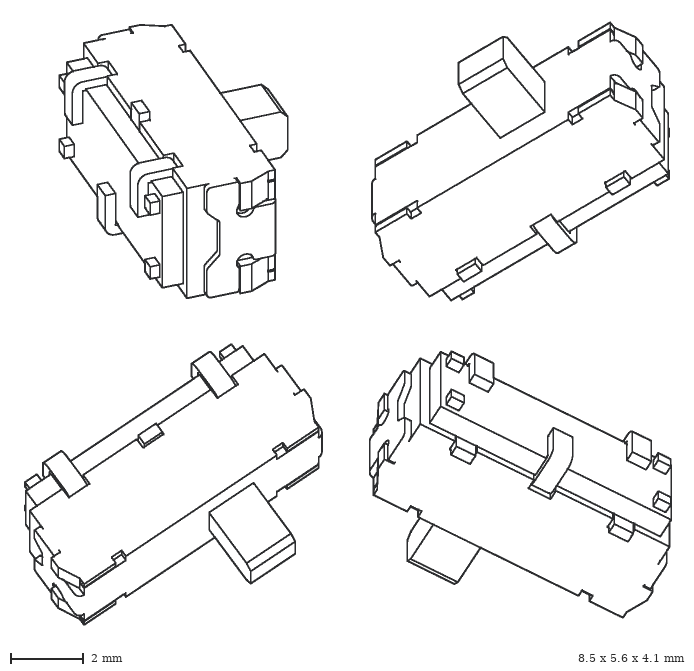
import cadquery as cq


housing_length = 7.9
housing_depth = 2.6
housing_height = 3.6
half_length = housing_length / 2
half_height = housing_height / 2

base_length = 7.3
base_thickness = 0.61
base_height = 2.99
peg_size = 0.4
peg_length = 0.29
peg_x = 3.27
peg_z = 1.045

lever_x = -1.0
lever_width = 1.5
lever_length = 2.0
lever_chamfer = 0.2

terminal_pitch = 2.5
terminal_width = 0.6
terminal_thickness = 0.31
terminal_reach = 1.0
stub_z = 2.05
hook_z = 1.75
hook_tip_z = 0.4
slot_width = 0.7

bend_ratio = 0.98

sheet = 0.2
cap_front_y = 0.51
cap_shoulder_y = 1.46
cap_corner_radius = 0.13
shoulder_radius = 0.07
tongue_half_width = 0.86
relief_y = 1.64
relief_radius = 0.25
relief_blend = 0.085
recess_z = 0.08
recess_depth = 0.38
recess_half_floor = 0.535
recess_floor_radius = 0.1

ear_reach = 4.25
ear_height = 0.89
ear_slope_y = 1.79

notch_x = 2.71
notch_width = 0.34
slit_height = 0.05
slit_floor_z = 1.445


def block(x_range, y_range, z_range):
    """Box between the given limits."""
    x0, x1 = x_range
    y0, y1 = y_range
    z0, z1 = z_range
    return cq.Workplane("XY").box(x1 - x0, y1 - y0, z1 - z0, centered=False).translate((x0, y0, z0))


def centred(middle, size):
    """Limits of a span of the given size about its middle."""
    return middle - size / 2, middle + size / 2


def mirrored(shape, plane):
    """The shape together with its mirror image."""
    return shape.union(shape.mirror(plane))


def make_housing():
    housing = block(centred(0, housing_length), (0, housing_depth), centred(0, housing_height))
    for x in (-terminal_pitch, 0, terminal_pitch):
        slot = block(centred(x, slot_width), (0, terminal_thickness), centred(0, housing_height))
        housing = housing.cut(slot)
    return housing.cut(make_back_reliefs())


def make_back_reliefs():
    """Notches in the upper and lower back edges, each joined to the housing end by a thin slit."""
    back = (housing_depth - sheet, housing_depth)
    notch = block(centred(notch_x, notch_width), back, (slit_floor_z, half_height))
    slit = block((notch_x, half_length), back, (slit_floor_z, slit_floor_z + slit_height))
    return mirrored(mirrored(notch.union(slit), "XY"), "YZ")


def make_base():
    base = block(centred(0, base_length), (-base_thickness, 0), centred(0, base_height))
    peg_span = (-base_thickness - peg_length, -base_thickness)
    peg = block(centred(peg_x, peg_size), peg_span, centred(peg_z, peg_size))
    return base.union(mirrored(mirrored(peg, "XY"), "YZ"))


def make_lever():
    back = (housing_depth, housing_depth + lever_length)
    lever = block(centred(lever_x, lever_width), back, centred(0, lever_width))
    return lever.faces(">Y").edges("|X").chamfer(lever_chamfer)


def make_terminal(x):
    """Terminal with its hook at the top and its stub at the bottom."""
    outline = [
        (terminal_thickness, -stub_z),
        (terminal_thickness, hook_z),
        (-terminal_reach, hook_z),
        (-terminal_reach, hook_tip_z),
        (-terminal_reach + terminal_thickness, hook_tip_z),
        (-terminal_reach + terminal_thickness, hook_z - terminal_thickness),
        (0, hook_z - terminal_thickness),
        (0, -stub_z),
    ]
    terminal = cq.Workplane("YZ").polyline(outline).close().extrude(terminal_width / 2, both=True)
    bend_radius = bend_ratio * terminal_thickness
    return terminal.faces(">Z").edges("|X").fillet(bend_radius).translate((x, 0, 0))


def round_corners(plate, y, heights, radius):
    """Round the plate outline at the corners with the given Y and each of the heights."""
    for z in heights:
        corner = cq.selectors.NearestToPointSelector((sheet / 2, y, z))
        plate = plate.edges("|X").edges(corner).fillet(radius)
    return plate


def make_end_cap():
    """Formed plate on the +X end, with a rear tongue bent towards the back."""
    recess_y = cap_front_y + recess_depth
    recess_half_mouth = recess_half_floor + recess_depth
    outline = [
        (cap_front_y, half_height),
        (cap_front_y, recess_z + recess_half_mouth),
        (recess_y, recess_z + recess_half_floor),
        (recess_y, recess_z - recess_half_floor),
        (cap_front_y, recess_z - recess_half_mouth),
        (cap_front_y, -half_height),
        (cap_shoulder_y, -half_height),
        (cap_shoulder_y, -tongue_half_width),
        (housing_depth, -tongue_half_width),
        (housing_depth, tongue_half_width),
        (cap_shoulder_y, tongue_half_width),
        (cap_shoulder_y, half_height),
    ]
    cap = cq.Workplane("YZ").polyline(outline).close().extrude(sheet)
    reliefs = (
        cq.Workplane("YZ")
        .pushPoints([(relief_y, tongue_half_width), (relief_y, -tongue_half_width)])
        .circle(relief_radius)
        .extrude(sheet)
    )
    cap = cap.cut(reliefs)

    mouth_corners = (recess_z + recess_half_mouth, recess_z - recess_half_mouth)
    floor_corners = (recess_z + recess_half_floor, recess_z - recess_half_floor)
    tongue_edges = (tongue_half_width, -tongue_half_width)
    plate_edges = (half_height, -half_height)
    cap = round_corners(cap, cap_front_y, plate_edges + mouth_corners, cap_corner_radius)
    cap = round_corners(cap, recess_y, floor_corners, recess_floor_radius)
    cap = round_corners(cap, cap_shoulder_y, plate_edges, shoulder_radius)
    cap = round_corners(cap, relief_y + relief_radius, tongue_edges, relief_blend)
    cap = cap.faces(">Y").edges(">X").fillet(bend_ratio * sheet)
    return cap.translate((half_length, 0, 0))


def make_ear():
    """Latch ear on the upper +X corner, sloping out from the back."""
    outline = [
        (half_length, cap_shoulder_y),
        (ear_reach, cap_shoulder_y),
        (ear_reach, ear_slope_y),
        (half_length, housing_depth - sheet),
    ]
    ear = cq.Workplane("XY").polyline(outline).close().extrude(ear_height)
    return ear.translate((0, 0, half_height - ear_height))


end_fittings = make_end_cap().union(mirrored(make_ear(), "XY"))
result = make_housing().union(make_base()).union(make_lever()).union(mirrored(end_fittings, "YZ"))
for x in (-terminal_pitch, terminal_pitch):
    result = result.union(make_terminal(x))
result = result.union(make_terminal(0).mirror("XY"))